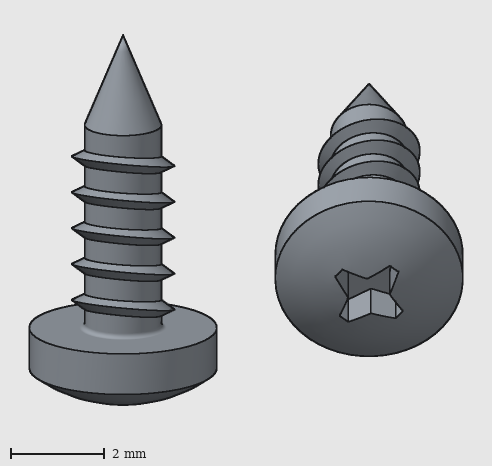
import cadquery as cq
import math

head_diameter = 4.0
head_radius = head_diameter / 2
head_thickness = 0.9
dome_height = 0.685
crown_z = -head_thickness - dome_height

shank_radius = 0.82
point_length = 2.0
tip_z = 6.5
point_base_z = tip_z - point_length
neck_fillet = 0.105

ring_count = 5
ring_pitch = 0.8
ring_radius = 1.1
ring_tilt = 13.5
ring_half_angle = 31.0
first_ring_z = 0.51
ring_root_radius = shank_radius - 0.16

recess_reach = 0.84
arm_half_width = 0.12
recess_corner = 0.31
recess_depth = 0.97


def make_body():
    """Revolve the head, neck fillet, shank and point about Z."""
    dome_radius = (head_radius**2 + dome_height**2) / (2 * dome_height)
    dome_mid_angle = math.asin(head_radius / dome_radius) / 2
    dome_mid = (
        dome_radius * math.sin(dome_mid_angle),
        crown_z + dome_radius * (1 - math.cos(dome_mid_angle)),
    )
    fillet_inset = neck_fillet * (1 - math.sqrt(0.5))
    profile = (
        cq.Workplane("XZ")
        .moveTo(0, crown_z)
        .threePointArc(dome_mid, (head_radius, -head_thickness))
        .lineTo(head_radius, 0)
        .lineTo(shank_radius + neck_fillet, 0)
        .threePointArc((shank_radius + fillet_inset, fillet_inset), (shank_radius, neck_fillet))
        .lineTo(shank_radius, point_base_z)
        .lineTo(0, tip_z)
        .close()
    )
    return profile.revolve(360, (0, 0), (0, 1))


def make_thread_ring(center_z):
    """Revolve a solid disc with a sharp V edge, then tilt and raise it."""
    root_half_height = (ring_radius - ring_root_radius) * math.tan(math.radians(ring_half_angle))
    ring = (
        cq.Workplane("XZ")
        .moveTo(0, -root_half_height)
        .lineTo(ring_root_radius, -root_half_height)
        .lineTo(ring_radius, 0)
        .lineTo(ring_root_radius, root_half_height)
        .lineTo(0, root_half_height)
        .close()
        .revolve(360, (0, 0), (0, 1))
    )
    return ring.rotate((0, 0, 0), (1, 0, 0), -ring_tilt).translate((0, 0, center_z))


def make_recess():
    """Star with flat arm ends and arms that widen towards sharp inner corners."""
    quarter_outline = (
        (recess_reach, -arm_half_width),
        (recess_reach, arm_half_width),
        (recess_corner, recess_corner),
    )
    points = []
    for cos_turn, sin_turn in ((1, 0), (0, 1), (-1, 0), (0, -1)):
        for x, y in quarter_outline:
            points.append((x * cos_turn - y * sin_turn, x * sin_turn + y * cos_turn))
    return cq.Workplane("XY", origin=(0, 0, crown_z)).polyline(points).close().extrude(recess_depth)


result = make_body()
for ring_index in range(ring_count):
    result = result.union(make_thread_ring(first_ring_z + ring_index * ring_pitch))
result = result.cut(make_recess())